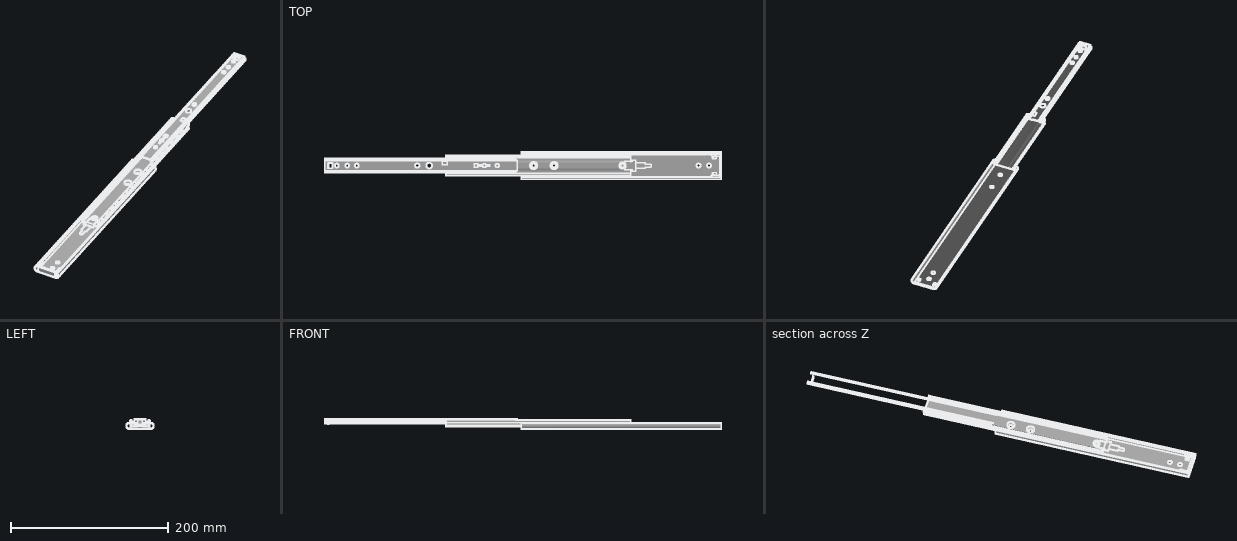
import cadquery as cq
import math


slide_length = 504.0
slide_width = 35.3
slide_height = 13.0

inner_start, inner_end = 0.0, 245.0
middle_start, middle_end = 154.0, 389.0
outer_start, outer_end = 249.5, slide_length

outer_sheet = 0.8
outer_curl_radius = 4.5
curl_start_angle = math.radians(-75)
curl_end_angle = math.radians(56)
track_y = slide_width / 2 - outer_curl_radius
track_radius = outer_curl_radius - outer_sheet / 2
track_z = outer_sheet / 2 - track_radius * math.sin(curl_start_angle)
screw_hole = 4.8
outer_hole_x = (265.5, 291.5, 475.0, 488.3)
lance_x, lance_y = 495.0, 10.6
lance_length, lance_width = 4.4, 2.8

middle_sheet = 1.2
middle_curl_radius = 2.3
middle_curl_start_angle = math.radians(-50)
middle_curl_end_angle = math.radians(85)
middle_curl_y = 13.0 - middle_curl_radius
middle_curl_z = 11.8 - middle_curl_radius
web_low_z = 3.4
web_high_z = 4.2
web_ridge_y = 3.7
web_valley_y = 6.4
groove_edge_y = 12.1
groove_depth_y, groove_mid_z = 11.0, 4.6
access_hole = 9.4
access_hole_x = outer_hole_x[:2]

inner_sheet = 1.1
inner_half_width = 9.0
inner_leg_y = inner_half_width - inner_sheet / 2
inner_top_z = slide_height - inner_sheet / 2
inner_foot_z = 7.0 + inner_sheet / 2
inner_cap_y = 7.5 - inner_sheet / 2
inner_step_z = 10.3 - inner_sheet / 2
inner_corner_length, inner_corner_width = 4.5, 3.0
window_x, window_length, window_width = 7.0, 6.0, 6.4
tab_thickness, tab_foot_z = 1.0, 6.2
inner_hole_x = (15.5, 28.8, 40.9)
slot_x, slot_length = 117.7, 5.4
large_hole_x, large_hole = 132.8, 7.0
stop_dent_x, stop_dent_y = 152.5, 3.2
stop_dent_length, stop_dent_width, stop_dent_depth = 6.5, 4.6, 0.5
key_start, key_end, key_slit = 190.0, 209.5, 1.6
key_square, key_hole_x = 4.6, 203.0
rear_hole_x = 219.2

inner_cage_y, inner_cage_sheet = 10.1, 0.7
inner_cage_low_z, inner_cage_high_z = 7.0, 10.2
inner_cage_start, inner_cage_end = 167.0, 388.0
outer_cage_start, outer_cage_end = 252.0, 485.0
outer_cage_inside_y, outer_cage_outside_y = 13.9, 14.9
outer_cage_low_z, outer_cage_high_z = 6.7, 7.4

bumper_wall_x = 501.6
bumper_wall_half_width = 12.1
bumper_wall_high_z = 8.4
arm_start, arm_end = 487.0, 502.5
arm_outside_y = outer_cage_outside_y
toe_start, toe_tip, toe_end = 490.0, 493.4, 495.4
toe_tip_y = 10.9

latch_base_z = web_high_z + middle_sheet / 2
latch_sheet = 1.3
tongue_sheet = 0.7
latch_eye_height = 1.8
latch_eye_x, latch_eye, latch_eye_hole = 378.5, 8.4, 5.0
latch_plate_end, latch_plate_width = 395.5, 10.6
latch_lug_length, latch_lug_width = 5.0, 14.0
tongue_width, tongue_shoulder_x = 7.4, 407.0
tip_width, tip_end, tip_corner = 4.0, 415.0, 1.8


def box(x0, x1, y0, y1, z0, z1):
    """Block between two opposite corners."""
    return cq.Workplane("XY").box(x1 - x0, y1 - y0, z1 - z0, centered=False).translate((x0, y0, z0))


def bores(xs, diameter):
    """Vertical cylinders on the centre line, tall enough to pierce any rail."""
    points = [(x, 0) for x in xs]
    return cq.Workplane("XY").pushPoints(points).circle(diameter / 2).extrude(slide_height)


def folded_rail(start, end, sheet, half_path, corners="arc"):
    """Sheet of even thickness folded along a centre path given for the +Y side and mirrored."""
    length = end - start
    path = half_path(cq.Workplane("YZ", origin=(start, 0, 0)))
    half = path.wire().offset2D(sheet / 2, corners).extrude(length)
    half = half.intersect(box(start, end, 0, slide_width, -slide_height, 2 * slide_height))
    return half.union(half.mirror("XZ")).clean()


def outer_path(plane):
    def curl_point(angle):
        return track_y + track_radius * math.cos(angle), track_z + track_radius * math.sin(angle)

    start = curl_point(curl_start_angle)
    return (
        plane.moveTo(-outer_sheet, start[1])
        .lineTo(*start)
        .threePointArc(curl_point(0), curl_point(curl_end_angle))
    )


def middle_path(plane):
    radius = middle_curl_radius - middle_sheet / 2

    def curl_point(angle):
        return middle_curl_y + radius * math.cos(angle), middle_curl_z + radius * math.sin(angle)

    return (
        plane.moveTo(-middle_sheet, web_high_z)
        .lineTo(web_ridge_y, web_high_z)
        .lineTo(web_valley_y, web_low_z)
        .lineTo(groove_edge_y, web_low_z)
        .lineTo(groove_depth_y, groove_mid_z)
        .lineTo(*curl_point(middle_curl_start_angle))
        .threePointArc(curl_point(0), curl_point(middle_curl_end_angle))
    )


def inner_path(plane):
    return (
        plane.moveTo(-inner_sheet, inner_top_z)
        .lineTo(inner_cap_y, inner_top_z)
        .lineTo(inner_cap_y, inner_step_z)
        .lineTo(inner_leg_y, inner_step_z)
        .lineTo(inner_leg_y, inner_foot_z)
    )


def make_outer_rail():
    rail = folded_rail(outer_start, outer_end, outer_sheet, outer_path)
    lances = (
        cq.Workplane("XY")
        .pushPoints([(lance_x, lance_y), (lance_x, -lance_y)])
        .rect(lance_length, lance_width)
        .extrude(outer_sheet)
    )
    return rail.cut(bores(outer_hole_x, screw_hole)).cut(lances)


def make_middle_rail():
    rail = folded_rail(middle_start, middle_end, middle_sheet, middle_path)
    return rail.cut(bores(access_hole_x, access_hole))


def make_inner_rail():
    def slot(x0, x1, width):
        return box(x0, x1, -width / 2, width / 2, slide_height - 2 * inner_sheet, slide_height)

    rail = folded_rail(inner_start, inner_end, inner_sheet, inner_path, corners="intersection")
    corner = (
        cq.Workplane("XY")
        .moveTo(inner_end, inner_half_width)
        .lineTo(inner_end - inner_corner_length, inner_half_width)
        .lineTo(inner_end, inner_half_width - inner_corner_width)
        .close()
        .extrude(slide_height)
    )
    rail = rail.cut(corner).cut(corner.mirror("XZ"))

    window_start = window_x - window_length / 2
    rail = rail.cut(slot(window_start, window_start + window_length, window_width))
    tab = box(
        window_start, window_start + tab_thickness,
        -window_width / 2, window_width / 2,
        tab_foot_z, slide_height - inner_sheet / 2,
    )
    rail = rail.union(tab)

    rail = rail.cut(bores((*inner_hole_x, key_hole_x, rear_hole_x), screw_hole))
    rail = rail.cut(bores((large_hole_x,), large_hole))
    long_hole = cq.Workplane("XY").center(slot_x, 0).slot2D(slot_length, screw_hole).extrude(slide_height)
    rail = rail.cut(long_hole)

    stop_dent = box(0, stop_dent_length, 0, stop_dent_width, slide_height - stop_dent_depth, slide_height)
    stop_corner = (stop_dent_x - stop_dent_length / 2, stop_dent_y - stop_dent_width / 2, 0)
    rail = rail.cut(stop_dent.translate(stop_corner))

    rail = rail.cut(slot(key_start, key_end, key_slit))
    return rail.cut(slot(key_start, key_start + key_square, key_square))


def make_inner_cage(side):
    half = inner_cage_sheet / 2
    strip = box(
        inner_cage_start, inner_cage_end,
        inner_cage_y - half, inner_cage_y + half,
        inner_cage_low_z, inner_cage_high_z,
    )
    return strip if side > 0 else strip.mirror("XZ")


def make_outer_cage(side):
    strip = box(
        outer_cage_start, outer_cage_end,
        outer_cage_inside_y, outer_cage_outside_y,
        outer_cage_low_z, outer_cage_high_z,
    )
    return strip if side > 0 else strip.mirror("XZ")


def make_bumper():
    half = bumper_wall_half_width
    wall = box(bumper_wall_x, outer_end, -half, half, outer_sheet, bumper_wall_high_z)
    arm = (
        cq.Workplane("XY", origin=(0, 0, outer_cage_low_z))
        .moveTo(arm_start, arm_outside_y)
        .lineTo(arm_end, arm_outside_y)
        .lineTo(arm_end, half)
        .lineTo(toe_end, half)
        .lineTo(toe_tip, toe_tip_y)
        .lineTo(toe_start, outer_cage_inside_y)
        .lineTo(arm_start, outer_cage_inside_y)
        .close()
        .extrude(outer_cage_high_z - outer_cage_low_z)
    )
    return wall.union(arm).union(arm.mirror("XZ"))


def make_latch():
    def plate(x0, x1, width, sheet=latch_sheet):
        return box(x0, x1, -width / 2, width / 2, latch_base_z, latch_base_z + sheet)

    eye = cq.Workplane("XY", origin=(latch_eye_x, 0, latch_base_z)).circle(latch_eye / 2)
    latch = eye.extrude(latch_eye_height)
    latch = latch.union(plate(latch_eye_x + latch_eye_hole / 2, latch_plate_end, latch_plate_width))
    latch = latch.union(plate(latch_plate_end - latch_lug_length, latch_plate_end, latch_lug_width))
    latch = latch.union(plate(latch_plate_end, tongue_shoulder_x, tongue_width, tongue_sheet))
    tip = plate(tongue_shoulder_x, tip_end, tip_width, tongue_sheet)
    latch = latch.union(tip.edges("|Z and >X").fillet(tip_corner))
    return latch.cut(bores((latch_eye_x,), latch_eye_hole))


outer_rail = make_outer_rail()
middle_rail = make_middle_rail()
inner_rail = make_inner_rail()
inner_cages = [make_inner_cage(side) for side in (1, -1)]
outer_cages = [make_outer_cage(side) for side in (1, -1)]
bumper = make_bumper()
latch = make_latch()

result = cq.Compound.makeCompound(
    [
        outer_rail.val(),
        middle_rail.val(),
        inner_rail.val(),
        *[cage.val() for cage in inner_cages],
        *[cage.val() for cage in outer_cages],
        bumper.val(),
        latch.val(),
    ]
)